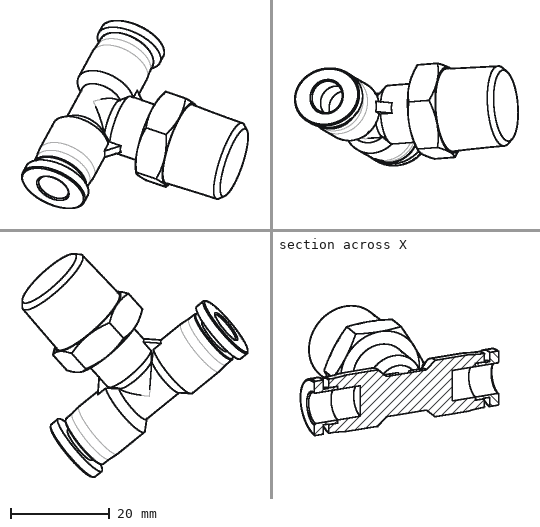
import cadquery as cq
import math


run_half_length = 17.35
socket_diameter = 12.4
socket_end_diameter = 11.9
socket_taper_diameter = 12.0
socket_mouth_chamfer = 0.15
socket_taper_outer = 15.55
socket_taper_inner = 13.55
socket_inner = 6.35
waist_diameter = 8.88
waist_half_length = 4.4
branch_diameter = 11.9
branch_cone_start = 4.4
branch_cone_end = 6.2

rib_thickness = 2.15
rib_reach = 14.55

collar_end = 20.55
collar_flange_thickness = 2.1
collar_width = 13.97
collar_height = 11.9
collar_edge_chamfer = 0.25
collar_neck_diameter = 7.9
collar_insertion = 2.05
tube_diameter = 6.55
tube_chamfer = 0.3
tube_depth = 10.28

hex_start = 13.05
hex_end = 19.03
hex_across_flats = 17.45
hex_chamfer_angle = 30.0
thread_start_diameter = 16.85
thread_end_diameter = 16.28
thread_tip_diameter = 14.43
thread_chamfer_start = 30.1
fitting_end = 31.1

socket_floor = collar_end - tube_depth
collar_inner_end = run_half_length - collar_insertion


def cylinder_y(diameter, start, end):
    """Cylinder along Y from start to end."""
    plane = cq.Plane(origin=(0, start, 0), xDir=(1, 0, 0), normal=(0, 1, 0))
    return cq.Workplane(plane).circle(diameter / 2).extrude(end - start)


def mirror_to_other_end(body):
    """Copy of a body at the opposite end of the run."""
    return body.mirror("XZ")


def make_socket():
    """Stepped outside of one half of the run, starting at the centre."""
    profile = [
        (0, 0),
        (waist_diameter / 2, 0),
        (waist_diameter / 2, waist_half_length),
        (socket_diameter / 2, socket_inner),
        (socket_diameter / 2, socket_taper_inner),
        (socket_taper_diameter / 2, socket_taper_outer),
        (socket_end_diameter / 2, run_half_length - socket_mouth_chamfer),
        (socket_end_diameter / 2 - socket_mouth_chamfer, run_half_length),
        (0, run_half_length),
    ]
    return cq.Workplane("XY").polyline(profile).close().revolve(360, (0, 0), (0, 1))


def make_branch():
    """Branch along X, widening from the waist to the fitting."""
    profile = [
        (0, 0),
        (0, waist_diameter / 2),
        (branch_cone_start, waist_diameter / 2),
        (branch_cone_end, branch_diameter / 2),
        (hex_start, branch_diameter / 2),
        (hex_start, 0),
    ]
    return cq.Workplane("XY").polyline(profile).close().revolve(360, (0, 0), (1, 0))


def make_rib():
    """Triangular gusset whose hidden corner is buried in the tee."""
    corner = waist_half_length
    profile = [
        (corner, corner),
        (rib_reach - corner, corner),
        (corner, rib_reach - corner),
    ]
    return cq.Workplane("XY").polyline(profile).close().extrude(rib_thickness / 2, both=True)


def make_socket_bore():
    """Recess for the collar neck, followed by the blind tube socket."""
    neck_recess = cylinder_y(collar_neck_diameter, collar_inner_end, run_half_length)
    tube_socket = cylinder_y(tube_diameter, socket_floor, run_half_length)
    return neck_recess.union(tube_socket)


def make_housing():
    half = make_socket().union(make_rib()).cut(make_socket_bore())
    housing = half.union(mirror_to_other_end(half))
    return housing.union(make_branch())


def make_collar():
    """Oval flange on a round neck, with a chamfered tube hole through both."""
    flange_start = collar_end - collar_flange_thickness
    plane = cq.Plane(origin=(0, flange_start, 0), xDir=(1, 0, 0), normal=(0, 1, 0))
    flange = (
        cq.Workplane(plane)
        .ellipse(collar_width / 2, collar_height / 2)
        .extrude(collar_flange_thickness)
        .faces(">Y")
        .chamfer(collar_edge_chamfer)
    )
    neck = cylinder_y(collar_neck_diameter, collar_inner_end, flange_start)
    tube_hole = cylinder_y(tube_diameter, collar_inner_end, collar_end)
    collar = flange.union(neck).cut(tube_hole)
    return collar.faces(">Y").edges("%CIRCLE").chamfer(tube_chamfer)


def make_hex():
    """Hexagon with flats facing +Z and -Z and corners chamfered at both ends."""
    corner_radius = hex_across_flats / math.sqrt(3)
    flat_radius = hex_across_flats / 2
    chamfer_length = (corner_radius - flat_radius) * math.tan(math.radians(hex_chamfer_angle))
    prism = (
        cq.Workplane("YZ", origin=(hex_start, 0, 0))
        .polygon(6, 2 * corner_radius)
        .extrude(hex_end - hex_start)
    )
    chamfer_profile = [
        (hex_start, 0),
        (hex_start, flat_radius),
        (hex_start + chamfer_length, corner_radius),
        (hex_end - chamfer_length, corner_radius),
        (hex_end, flat_radius),
        (hex_end, 0),
    ]
    envelope = cq.Workplane("XY").polyline(chamfer_profile).close().revolve(360, (0, 0), (1, 0))
    return prism.intersect(envelope)


def make_fitting():
    """Hexagon with a tapered, chamfered threaded end."""
    thread_profile = [
        (hex_end, 0),
        (hex_end, thread_start_diameter / 2),
        (thread_chamfer_start, thread_end_diameter / 2),
        (fitting_end, thread_tip_diameter / 2),
        (fitting_end, 0),
    ]
    thread = cq.Workplane("XY").polyline(thread_profile).close().revolve(360, (0, 0), (1, 0))
    return make_hex().union(thread)


housing = make_housing()
fitting = make_fitting()
collars = []
for at_negative_end in (False, True):
    collar = make_collar()
    if at_negative_end:
        collar = mirror_to_other_end(collar)
    collars.append(collar.val())

result = cq.Compound.makeCompound([housing.val(), fitting.val(), *collars])